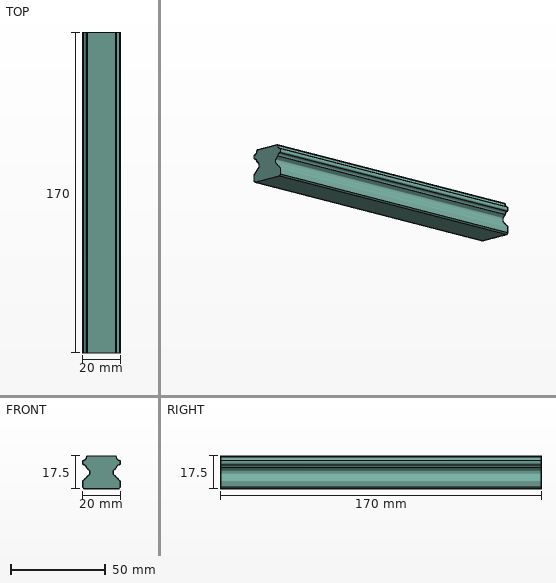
import cadquery as cq
import math

length = 170.0
width = 20.0
height = 17.5

base_chamfer = 0.8
foot_height = 4.0
foot_fillet = 0.8

waist_half_width = 6.3
waist_fillet = 0.7

lip_half_height = 0.7
lip_chamfer = 0.5
lip_fillet = 0.5
groove_size = 1.5
groove_radius = 1.7
neck_height = 0.8
top_chamfer = 0.5

half_width = width / 2
waist_bottom = foot_height + half_width - waist_half_width
groove_outer_x = half_width - lip_chamfer
groove_inner_x = groove_outer_x - groove_size
groove_outer_offset = lip_half_height + lip_chamfer
groove_inner_offset = groove_outer_offset + groove_size
lip_middle = height - neck_height - groove_inner_offset
overhang_top = lip_middle - groove_inner_offset
waist_top = overhang_top - (groove_inner_x - waist_half_width)


def groove_middle(side):
    """Deepest point of the concave groove above (side=1) or below (side=-1) the lip."""
    chord = groove_size * math.sqrt(2)
    sag = groove_radius - math.sqrt(groove_radius**2 - (chord / 2) ** 2)
    inward = sag / math.sqrt(2)
    middle_x = (groove_outer_x + groove_inner_x) / 2 - inward
    middle_offset = (groove_outer_offset + groove_inner_offset) / 2 - inward
    return (middle_x, lip_middle + side * middle_offset)


def sharp_half():
    """Right half of the rail, before rounding."""
    return (
        cq.Workplane("XZ", origin=(0, length / 2, 0))
        .moveTo(0, 0)
        .lineTo(half_width - base_chamfer, 0)
        .lineTo(half_width, base_chamfer)
        .lineTo(half_width, foot_height)
        .lineTo(waist_half_width, waist_bottom)
        .lineTo(waist_half_width, waist_top)
        .lineTo(groove_inner_x, overhang_top)
        .threePointArc(groove_middle(-1), (groove_outer_x, lip_middle - groove_outer_offset))
        .lineTo(half_width, lip_middle - lip_half_height)
        .lineTo(half_width, lip_middle + lip_half_height)
        .lineTo(groove_outer_x, lip_middle + groove_outer_offset)
        .threePointArc(groove_middle(1), (groove_inner_x, lip_middle + groove_inner_offset))
        .lineTo(groove_inner_x, height - top_chamfer)
        .lineTo(groove_inner_x - top_chamfer, height)
        .lineTo(0, height)
        .close()
        .extrude(length)
    )


def round_corners(body):
    """Round the lengthwise edges of the foot, waist and lip."""
    corners = [
        (half_width, foot_height, foot_fillet),
        (waist_half_width, waist_bottom, waist_fillet),
        (waist_half_width, waist_top, waist_fillet),
        (half_width, lip_middle - lip_half_height, lip_fillet),
        (half_width, lip_middle + lip_half_height, lip_fillet),
    ]
    for x, z, radius in corners:
        body = body.edges(cq.NearestToPointSelector((x, 0, z))).fillet(radius)
    return body


right_half = round_corners(sharp_half())
result = right_half.union(right_half.mirror("YZ")).clean()